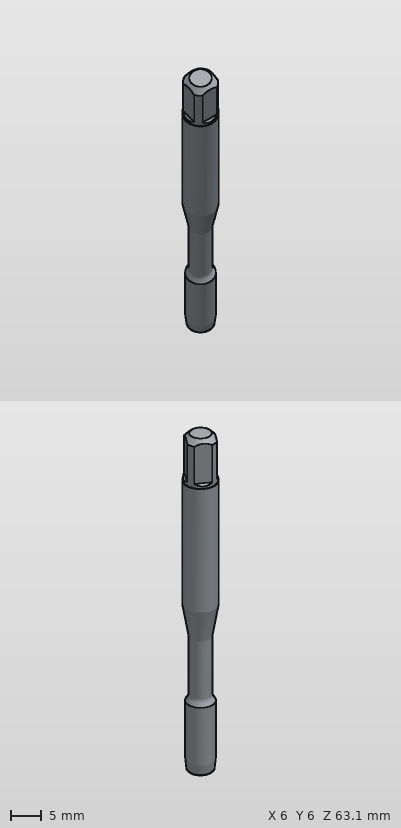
import cadquery as cq
import math

total_length = 63.1

cutter_radius = 5.05 / 2
tip_radius = 4.7 / 2
tip_length = 2.2
tip_chamfer = 0.3
cutter_length = 13.0

neck_radius = 3.9 / 2
shank_radius = 6.0 / 2
collar_half_angle = math.radians(30)
collar_length = (cutter_radius - neck_radius) / math.tan(collar_half_angle)
neck_bottom = cutter_length + collar_length
neck_top = 25.1
taper_top = 31.1
neck_fillet = 1.0

drive_radius = 5.75 / 2
drive_width = 4.9
drive_base = 54.25
flat_base = 55.1
end_face_radius = 3.65 / 2
flat_count = 4
cut_clearance = 0.6
end_chamfer = drive_radius - end_face_radius


def revolve_profile(points):
    """Revolve a closed (radius, height) outline about the Z axis."""
    return cq.Workplane("XZ").polyline(points).close().revolve(360, (0, 0), (0, 1))


def make_cutter():
    """Cylindrical cutting end with a slightly tapered, chamfered tip."""
    return revolve_profile([
        (0, 0),
        (tip_radius - tip_chamfer, 0),
        (tip_radius, tip_chamfer),
        (cutter_radius, tip_length),
        (cutter_radius, cutter_length),
        (0, cutter_length),
    ])


def make_flat_cutter():
    """Material removed for the +X flat, with a 45 degree runout at its foot."""
    flat_distance = drive_width / 2
    outer_distance = shank_radius + cut_clearance
    runout_drop = outer_distance - flat_distance
    return (
        cq.Workplane("XZ")
        .polyline([
            (flat_distance, flat_base),
            (outer_distance, flat_base - runout_drop),
            (outer_distance, total_length),
            (flat_distance, total_length),
        ])
        .close()
        .extrude(shank_radius, both=True)
    )


def fillet_neck_ends(shank):
    """Round the inner corners where the neck meets the cones at its two ends."""
    margin = 0.05
    for height in (neck_bottom, neck_top):
        end_circle = cq.selectors.BoxSelector(
            (-shank_radius, -shank_radius, height - margin),
            (shank_radius, shank_radius, height + margin),
            boundingbox=True,
        )
        shank = shank.edges(end_circle).fillet(neck_fillet)
    return shank


def make_shank():
    """Stepped shank from the neck collar up to the chamfered square drive."""
    shank = revolve_profile([
        (0, cutter_length),
        (cutter_radius, cutter_length),
        (neck_radius, neck_bottom),
        (neck_radius, neck_top),
        (shank_radius, taper_top),
        (shank_radius, drive_base),
        (drive_radius, drive_base),
        (drive_radius, total_length - end_chamfer),
        (end_face_radius, total_length),
        (0, total_length),
    ])
    shank = fillet_neck_ends(shank)
    flat_cutter = make_flat_cutter()
    for index in range(flat_count):
        angle = index * 360 / flat_count
        shank = shank.cut(flat_cutter.rotate((0, 0, 0), (0, 0, 1), angle))
    return shank


cutter = make_cutter()
shank = make_shank()
result = cq.Compound.makeCompound([cutter.val(), *shank.vals()])